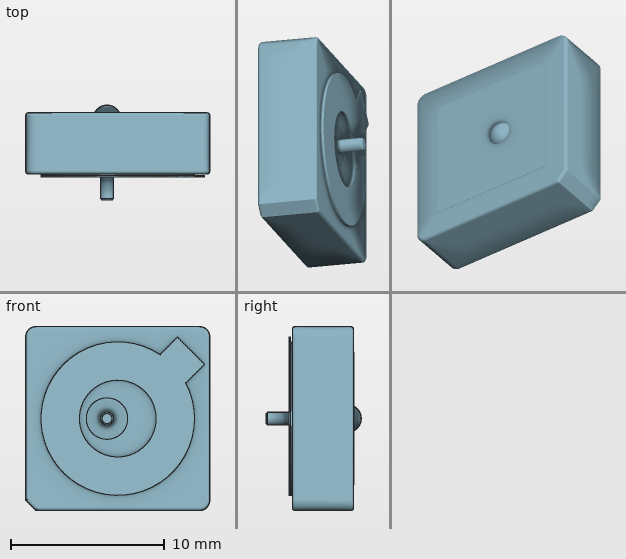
import cadquery as cq
import math

block_side = 12.0
block_depth = 4.0
corner_radius = 0.68
corner_chamfer = 0.68
edge_fillet = 0.2

pad_size = 8.6
pad_thickness = 0.02

layer_thickness = 0.1
disc_radius = 5.0
window_radius = 2.5
tab_reach = 6.5
tab_lower_side = -1.5
tab_upper_side = 1.0
tab_angle = 45.0

pin_x = -0.7
pin_radius = 0.425
pin_length = 1.7
pin_tip_chamfer = 0.1
head_radius = 0.8
head_height = 0.48

clearance_radius = 1.35
clearance_depth = 0.02


def front_plane(y):
    """Sketch plane at depth y: local x is X, local y is Z, and positive extrusion runs toward -Y."""
    return cq.Workplane("XZ", origin=(0, y, 0))


def make_block():
    block = front_plane(block_depth).rect(block_side, block_side).extrude(block_depth)
    block = block.edges("|Y").edges(">X or >Z").fillet(corner_radius)
    block = block.edges("|Y").edges("<X").edges("<Z").chamfer(corner_chamfer)
    block = block.faces("<Y or >Y").edges().fillet(edge_fillet)
    hole_depth = block_depth + pad_thickness
    pad = front_plane(hole_depth).rect(pad_size, pad_size).extrude(pad_thickness)
    recess = front_plane(clearance_depth).center(pin_x, 0).circle(clearance_radius).extrude(clearance_depth)
    pin_hole = front_plane(hole_depth).center(pin_x, 0).circle(pin_radius).extrude(hole_depth)
    return block.union(pad).cut(recess).cut(pin_hole)


def make_adhesive():
    return front_plane(0).circle(disc_radius).circle(window_radius).extrude(layer_thickness)


def make_liner():
    base = front_plane(-layer_thickness)
    disc = base.circle(disc_radius).extrude(layer_thickness)
    tab = (
        base.transformed(rotate=(0, 0, tab_angle))
        .moveTo(0, tab_lower_side)
        .lineTo(tab_reach, tab_lower_side)
        .lineTo(tab_reach, tab_upper_side)
        .lineTo(0, tab_upper_side)
        .close()
        .extrude(layer_thickness)
    )
    window = base.circle(window_radius).extrude(layer_thickness)
    return disc.union(tab).cut(window)


def make_pin():
    """Half profile in the YZ plane, drawn as (Y, radius) and revolved about the pin axis."""
    head_base = block_depth + pad_thickness
    head_top = head_base + head_height
    sphere_radius = (head_radius**2 + head_height**2) / (2 * head_height)
    half_angle = math.asin(head_radius / sphere_radius) / 2
    arc_middle = (
        head_top - sphere_radius * (1 - math.cos(half_angle)),
        sphere_radius * math.sin(half_angle),
    )
    return (
        cq.Workplane("YZ", origin=(pin_x, 0, 0))
        .moveTo(-pin_length, 0)
        .lineTo(-pin_length, pin_radius - pin_tip_chamfer)
        .lineTo(-pin_length + pin_tip_chamfer, pin_radius)
        .lineTo(head_base, pin_radius)
        .lineTo(head_base, head_radius)
        .threePointArc(arc_middle, (head_top, 0))
        .close()
        .revolve(360, (0, 0, 0), (1, 0, 0))
    )


block = make_block()
adhesive = make_adhesive()
liner = make_liner()
pin = make_pin()

result = cq.Compound.makeCompound([block.val(), adhesive.val(), liner.val(), pin.val()])